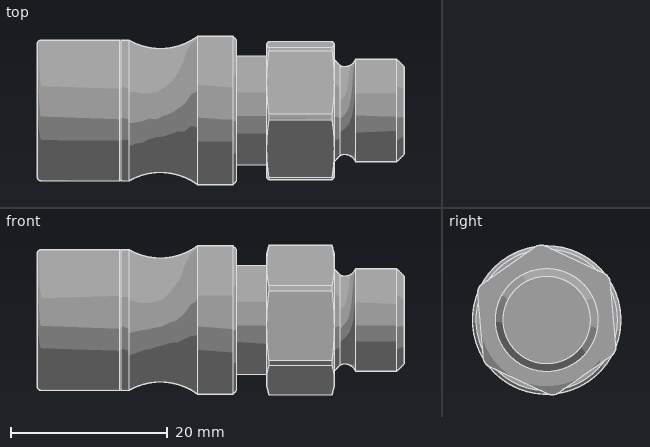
import cadquery as cq
import math

length = 46.9

cap_dia = 18.0
cap_rim_radius = 0.5
groove_x = 10.55
groove_width = 0.15
groove_depth = 0.1

waist_start_x = 11.75
waist_end_x = 20.5
waist_min_x = 15.7
waist_dia = 15.85

collar_dia = 19.0
collar_end_x = 25.5
collar_chamfer = 0.45

neck_dia = 14.0

nut_start_x = 29.32
nut_end_x = 37.95
nut_across_flats = 17.0
nut_corner_dia = 19.2
nut_face_dia = 17.0
nut_chamfer_length = 0.3
nut_turn = 5.0

stud_dia = 13.15
stud_start_x = 40.7
stud_chamfer = 1.0
undercut_start_x = 38.7
undercut_start_dia = 11.5
undercut_min_x = 39.25
undercut_dia = 11.25


def revolve_about_x(profile):
    return profile.close().revolve(360, (0, 0, 0), (1, 0, 0))


def make_grip():
    """Cap, waist, collar and neck turned from one profile."""
    cap_r = cap_dia / 2
    collar_r = collar_dia / 2
    neck_r = neck_dia / 2
    rim_mid = cap_rim_radius * (1 - math.sqrt(0.5))
    profile = (
        cq.Workplane("XY")
        .lineTo(0, cap_r - cap_rim_radius)
        .threePointArc((rim_mid, cap_r - rim_mid), (cap_rim_radius, cap_r))
        .lineTo(groove_x, cap_r)
        .lineTo(groove_x, cap_r - groove_depth)
        .lineTo(groove_x + groove_width, cap_r - groove_depth)
        .lineTo(groove_x + groove_width, cap_r)
        .lineTo(waist_start_x, cap_r)
        .threePointArc((waist_min_x, waist_dia / 2), (waist_end_x, collar_r))
        .lineTo(collar_end_x - collar_chamfer, collar_r)
        .lineTo(collar_end_x, collar_r - collar_chamfer)
        .lineTo(collar_end_x, neck_r)
        .lineTo(nut_start_x, neck_r)
        .lineTo(nut_start_x, 0)
    )
    return revolve_about_x(profile)


def make_nut():
    """Hexagonal prism trimmed by a turned blank with chamfered ends."""
    nut_length = nut_end_x - nut_start_x
    sharp_corner_dia = nut_across_flats / math.cos(math.radians(30))
    prism = (
        cq.Workplane("YZ", origin=(nut_start_x, 0, 0))
        .polygon(6, sharp_corner_dia)
        .extrude(nut_length)
        .rotate((0, 0, 0), (1, 0, 0), 90 + nut_turn)
    )
    face_r = nut_face_dia / 2
    corner_r = nut_corner_dia / 2
    blank = (
        cq.Workplane("XY")
        .moveTo(nut_start_x, 0)
        .lineTo(nut_start_x, face_r)
        .lineTo(nut_start_x + nut_chamfer_length, corner_r)
        .lineTo(nut_end_x - nut_chamfer_length, corner_r)
        .lineTo(nut_end_x, face_r)
        .lineTo(nut_end_x, 0)
    )
    return prism.intersect(revolve_about_x(blank))


def make_stud():
    """Chamfered stud with a cone and a rounded undercut against the nut."""
    stud_r = stud_dia / 2
    profile = (
        cq.Workplane("XY")
        .moveTo(nut_end_x, 0)
        .lineTo(nut_end_x, stud_r)
        .lineTo(undercut_start_x, undercut_start_dia / 2)
        .threePointArc((undercut_min_x, undercut_dia / 2), (stud_start_x, stud_r))
        .lineTo(length - stud_chamfer, stud_r)
        .lineTo(length, stud_r - stud_chamfer)
        .lineTo(length, 0)
    )
    return revolve_about_x(profile)


result = make_grip().union(make_nut()).union(make_stud())